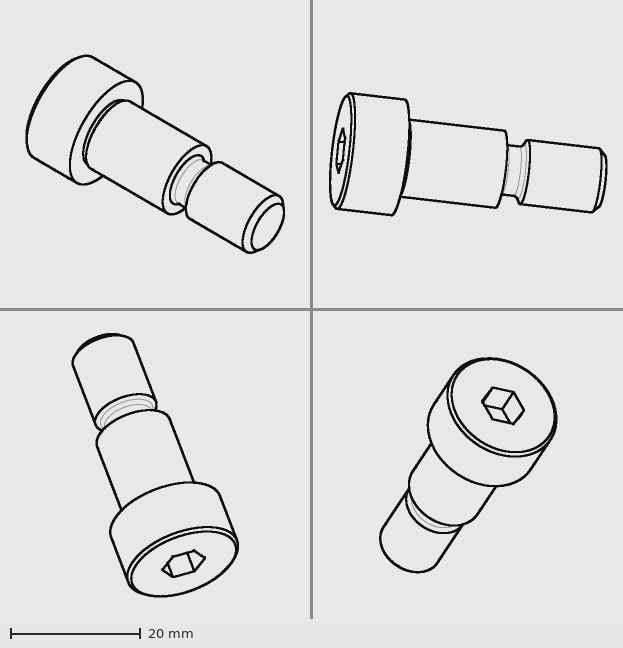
import cadquery as cq
import math

total_length = 41.0

head_diameter = 18.0
head_length = 9.0
head_chamfer = 0.5

socket_across_flats = 6.0
socket_depth = 4.9

relief_diameter = 11.4
relief_width = 0.8

shoulder_diameter = 12.0
shoulder_length = 16.0

thread_diameter = 10.0
end_chamfer = 1.0

groove_diameter = 7.7
groove_fillet = 0.8
groove_flank_angle = math.radians(60)
groove_width = 3.77

relief_end = head_length + relief_width
shoulder_end = head_length + shoulder_length
thread_start = shoulder_end + groove_width

head_radius = head_diameter / 2
relief_radius = relief_diameter / 2
shoulder_radius = shoulder_diameter / 2
thread_radius = thread_diameter / 2
groove_radius = groove_diameter / 2


def fillet_run(angle):
    """Axial distance covered by a groove fillet that turns through angle."""
    return groove_fillet * math.sin(angle)


def fillet_rise(angle):
    """Radial distance gained by a groove fillet that turns through angle."""
    return groove_fillet * (1 - math.cos(angle))


def make_body():
    """Revolve the half profile; the groove fillets meet the shoulder face and a conical flank."""
    half_angle = groove_flank_angle / 2
    full_run = fillet_run(groove_flank_angle)
    fillet_top = groove_radius + fillet_rise(groove_flank_angle)
    fillet_middle = groove_radius + fillet_rise(half_angle)

    floor_start = shoulder_end + full_run
    flank_run = (thread_radius - fillet_top) / math.tan(groove_flank_angle)
    flank_start = thread_start - flank_run
    floor_end = flank_start - full_run

    profile = (
        cq.Workplane("XY")
        .moveTo(0, 0)
        .lineTo(0, head_radius - head_chamfer)
        .lineTo(head_chamfer, head_radius)
        .lineTo(head_length, head_radius)
        .lineTo(head_length, relief_radius)
        .lineTo(relief_end, relief_radius)
        .lineTo(relief_end, shoulder_radius)
        .lineTo(shoulder_end, shoulder_radius)
        .lineTo(shoulder_end, fillet_top)
        .threePointArc(
            (floor_start - fillet_run(half_angle), fillet_middle),
            (floor_start, groove_radius),
        )
        .lineTo(floor_end, groove_radius)
        .threePointArc(
            (floor_end + fillet_run(half_angle), fillet_middle),
            (flank_start, fillet_top),
        )
        .lineTo(thread_start, thread_radius)
        .lineTo(total_length - end_chamfer, thread_radius)
        .lineTo(total_length, thread_radius - end_chamfer)
        .lineTo(total_length, 0)
        .close()
    )
    return profile.revolve(360, (0, 0, 0), (1, 0, 0))


def make_socket():
    """Hexagonal key socket with two corners on the Y axis."""
    across_corners = socket_across_flats / math.cos(math.radians(30))
    return cq.Workplane("YZ").polygon(6, across_corners).extrude(socket_depth)


result = make_body().cut(make_socket())